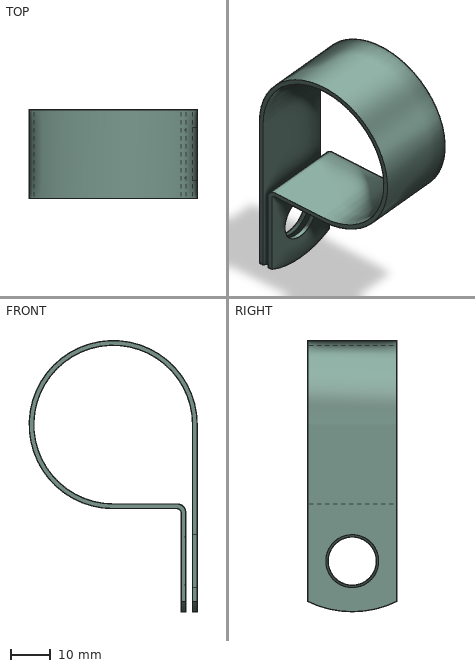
import cadquery as cq
import math

height = 67.9
loop_diameter = 42.1
strap_width = 22.25
thickness = 1.2
tab_gap = 1.6
bend_inner_radius = 1.0
short_tab_hole_diameter = 12.0
long_tab_hole_diameter = 13.25
hole_height = 12.7
end_arc_drop = 2.6

loop_radius = loop_diameter / 2
inner_radius = loop_radius - thickness
tab_bottom = loop_radius - height
bend_outer_radius = bend_inner_radius + thickness
short_tab_right = inner_radius - tab_gap
short_tab_left = short_tab_right - thickness
bend_x = short_tab_right - bend_outer_radius
bend_z = -inner_radius - bend_outer_radius
half_width = strap_width / 2
diagonal = math.sqrt(0.5)


def make_strap():
    """Bent strip: long tab, three-quarter loop, flat seat, bend and short tab."""
    profile = (
        cq.Workplane("XZ")
        .moveTo(loop_radius, tab_bottom)
        .lineTo(loop_radius, 0)
        .threePointArc((-loop_radius * diagonal, loop_radius * diagonal), (0, -loop_radius))
        .lineTo(bend_x, -loop_radius)
        .threePointArc(
            (bend_x + bend_inner_radius * diagonal, bend_z + bend_inner_radius * diagonal),
            (short_tab_left, bend_z),
        )
        .lineTo(short_tab_left, tab_bottom)
        .lineTo(short_tab_right, tab_bottom)
        .lineTo(short_tab_right, bend_z)
        .threePointArc(
            (bend_x + bend_outer_radius * diagonal, bend_z + bend_outer_radius * diagonal),
            (bend_x, -inner_radius),
        )
        .lineTo(0, -inner_radius)
        .threePointArc((-inner_radius * diagonal, inner_radius * diagonal), (inner_radius, 0))
        .lineTo(inner_radius, tab_bottom)
        .close()
    )
    return profile.extrude(half_width, both=True)


def make_end_envelope():
    """Block across the strap width whose rounded bottom shapes both tab ends."""
    corner_z = tab_bottom + end_arc_drop
    return (
        cq.Workplane("YZ")
        .moveTo(-half_width, loop_radius)
        .lineTo(-half_width, corner_z)
        .threePointArc((0, tab_bottom), (half_width, corner_z))
        .lineTo(half_width, loop_radius)
        .close()
        .extrude(loop_radius, both=True)
    )


def make_tab_hole(start_x, diameter):
    """Cylinder along X through one tab, starting at that tab's -X face."""
    return (
        cq.Workplane("YZ", origin=(start_x, 0, tab_bottom + hole_height))
        .circle(diameter / 2)
        .extrude(thickness)
    )


result = (
    make_strap()
    .intersect(make_end_envelope())
    .cut(make_tab_hole(short_tab_left, short_tab_hole_diameter))
    .cut(make_tab_hole(inner_radius, long_tab_hole_diameter))
)